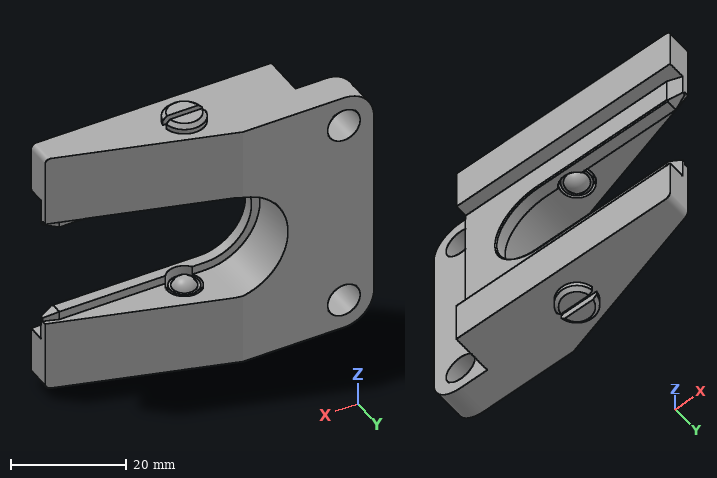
import cadquery as cq

length = 60.0
depth = 15.0
height = 50.05
half_height = height / 2

flange_width = 12.0
flange_thickness = 6.5
flange_radius = 6.0
mount_hole_diameter = 6.5

slope_start_x = 26.1
tip_back_y = -10.0
arm_corner_radius = 1.1

rail_height = 10.0
groove_depth = 2.5
groove_floor_y = groove_depth - depth

slot_radius = 9.2
slot_centre_x = 28.0
lip_thickness = 2.5
lip_back_y = groove_floor_y + lip_thickness
recess_radius = 10.85
lip_edge_chamfer = 0.25

lead_in_length = 2.8
lead_in_depth = 0.95
lead_in_x = length - lead_in_length

plunger_x = 33.35
plunger_y = -8.0
head_diameter = 8.0
head_height = 1.75
head_chamfer = 0.8
driver_slot_width = 1.15
bore_diameter = 6.65
plunger_tip_diameter = 5.7
bore_gap_depth = 1.8
ball_diameter = 5.0
ball_centre_z = 11.65

overlap = 0.6


def make_body():
    """Flanged block with a sloped back and rounded outer corners."""
    profile = [
        (0, 0),
        (slope_start_x, 0),
        (length, tip_back_y),
        (length, -depth),
        (flange_width, -depth),
        (flange_width, -flange_thickness),
        (0, -flange_thickness),
    ]
    body = cq.Workplane("XY").polyline(profile).close().extrude(half_height, both=True)
    body = body.edges("|Y and <X").fillet(flange_radius)
    return body.edges("|Y and >X").fillet(arm_corner_radius)


def y_prism(outline, front_y, back_y):
    """Extrude an XZ outline from front_y back to back_y."""
    return outline.extrude(front_y - back_y).translate((0, front_y, 0))


def u_cutter(radius, front_y, back_y):
    """Slot with a round left end, running out through the right side."""
    end_x = length + overlap
    outline = (
        cq.Workplane("XZ")
        .moveTo(end_x, radius)
        .lineTo(slot_centre_x, radius)
        .threePointArc((slot_centre_x - radius, 0), (slot_centre_x, -radius))
        .lineTo(end_x, -radius)
        .close()
    )
    return y_prism(outline, front_y, back_y)


def cut_mount_holes(body):
    hole_z = half_height - flange_radius
    outline = (
        cq.Workplane("XZ")
        .pushPoints([(flange_radius, hole_z), (flange_radius, -hole_z)])
        .circle(mount_hole_diameter / 2)
    )
    return body.cut(y_prism(outline, -flange_thickness - overlap, overlap))


def cut_groove(body):
    groove_height = height - 2 * rail_height
    groove = cq.Workplane("XY").box(
        length, groove_depth, groove_height, centered=(False, False, True)
    )
    return body.cut(groove.translate((flange_width, -depth, 0)))


def cut_slot(body):
    """Cut the slot, the wider recess behind its lip and the lip edge chamfer."""
    body = body.cut(u_cutter(slot_radius, -depth - overlap, overlap))
    body = body.cut(u_cutter(recess_radius, lip_back_y, overlap))
    lip_edge = cq.selectors.BoxSelector(
        (
            slot_centre_x - slot_radius - overlap,
            groove_floor_y - lip_edge_chamfer,
            -slot_radius - overlap,
        ),
        (
            lead_in_x + lead_in_length / 2,
            groove_floor_y + lip_edge_chamfer,
            slot_radius + overlap,
        ),
    )
    return body.edges(lip_edge).chamfer(lip_edge_chamfer)


def taper_wedge(start_y, end_y, wedge_height):
    """Triangular wedge that slopes from start_y to end_y at the arm tips."""
    return (
        cq.Workplane("XY")
        .polyline([(lead_in_x, start_y), (length, end_y), (length, start_y)])
        .close()
        .extrude(wedge_height / 2, both=True)
    )


def cut_lead_in(body):
    """Taper the lip tips on their front, back and inner sides."""
    front = taper_wedge(groove_floor_y, groove_floor_y + lead_in_depth, height - 2 * rail_height)
    back = taper_wedge(lip_back_y, lip_back_y - lead_in_depth, 2 * recess_radius)
    inner = (
        cq.Workplane("XZ")
        .polyline([
            (lead_in_x, slot_radius),
            (length, slot_radius + lead_in_depth),
            (length, -slot_radius - lead_in_depth),
            (lead_in_x, -slot_radius),
        ])
        .close()
    )
    return body.cut(front).cut(back).cut(y_prism(inner, -depth, 0))


def plunger_plane(z):
    return cq.Workplane("XY", origin=(plunger_x, plunger_y, z))


def add_upper_plunger(body):
    """Fit the plunger of the upper arm: head outside, ball and bore gap in the slot."""
    bore_gap = (
        plunger_plane(recess_radius)
        .circle(bore_diameter / 2)
        .circle(plunger_tip_diameter / 2)
        .extrude(bore_gap_depth)
    )
    lip_notch = plunger_plane(0).circle(bore_diameter / 2).extrude(recess_radius)
    ball = plunger_plane(ball_centre_z).sphere(ball_diameter / 2)
    head = (
        plunger_plane(half_height)
        .circle(head_diameter / 2)
        .extrude(head_height)
        .faces(">Z")
        .chamfer(head_chamfer)
    )
    driver_slot = plunger_plane(half_height).box(
        head_diameter, driver_slot_width, head_height, centered=(True, True, False)
    )
    return body.cut(bore_gap).cut(lip_notch).union(ball).union(head.cut(driver_slot))


def add_plungers(body):
    """Fit both plungers by turning the body over between them."""
    for _ in range(2):
        body = add_upper_plunger(body).mirror("XY")
    return body


result = make_body()
result = cut_mount_holes(result)
result = cut_groove(result)
result = cut_slot(result)
result = cut_lead_in(result)
result = add_plungers(result)